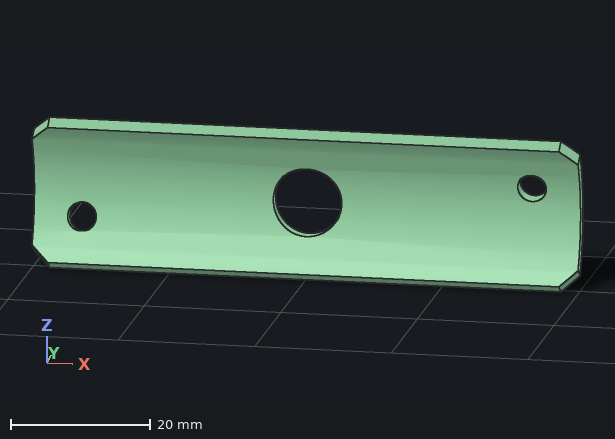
import cadquery as cq
import math

length = 80.0
height = 22.4
outer_radius = 19.0
thickness = 2.0
inner_radius = outer_radius - thickness
half_angle = math.degrees(math.asin(height / 2 / outer_radius))

corner_chamfer = 2.6
center_hole_diameter = 10.0
small_hole_diameter = 4.2
small_hole_offset = 33.0
small_hole_angle = 12.5


def arc_point(radius, angle):
    """Point in the YZ section, with the angle measured from +Y toward +Z."""
    turn = math.radians(angle)
    return radius * math.cos(turn), radius * math.sin(turn)


def curved_strip():
    """Arc section with radial long edges, extruded about the middle in X."""
    return (
        cq.Workplane("YZ")
        .moveTo(*arc_point(outer_radius, -half_angle))
        .threePointArc((outer_radius, 0), arc_point(outer_radius, half_angle))
        .lineTo(*arc_point(inner_radius, half_angle))
        .threePointArc((inner_radius, 0), arc_point(inner_radius, -half_angle))
        .close()
        .extrude(length / 2, both=True)
    )


def radial_hole(diameter, x, angle):
    """Cutter running outward from the tube axis at the given angle."""
    direction = cq.Vector(0, *arc_point(1, angle))
    reach = outer_radius + thickness
    return cq.Solid.makeCylinder(diameter / 2, reach, cq.Vector(x, 0, 0), direction)


strip = curved_strip()
result = strip.faces("<X or >X").edges("%LINE").chamfer(corner_chamfer)

result = result.cut(radial_hole(center_hole_diameter, 0, 0))
for side in (-1, 1):
    result = result.cut(
        radial_hole(small_hole_diameter, side * small_hole_offset, side * small_hole_angle)
    )